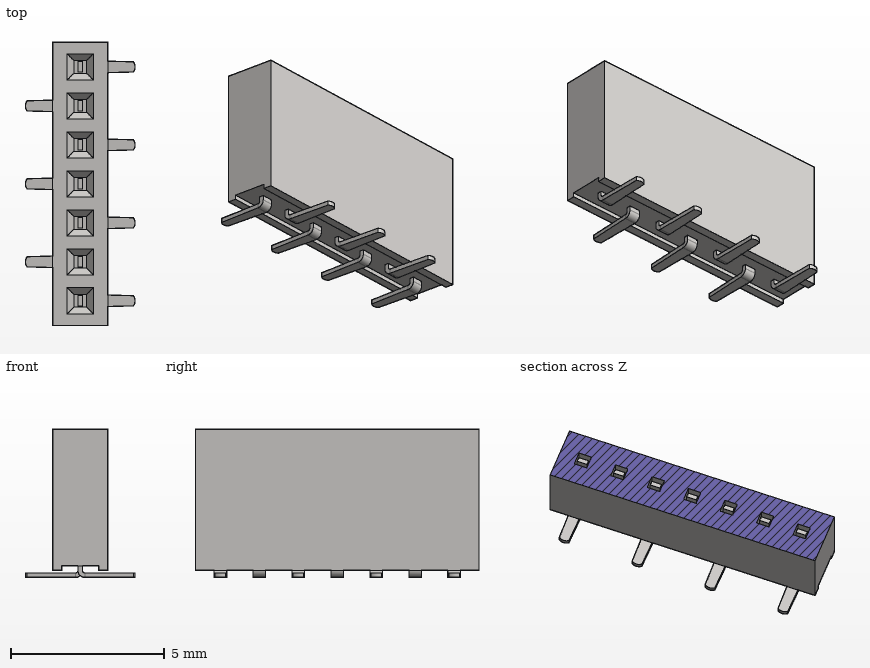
import cadquery as cq
import math

PIN_COUNT = 7
PITCH = 1.27
END_MARGIN = 0.35
HOUSING_WIDTH = 1.80
HOUSING_LENGTH = PIN_COUNT * PITCH + END_MARGIN
HOUSING_HEIGHT = 4.60
OVERALL_HEIGHT = 4.83
HOUSING_BOTTOM = OVERALL_HEIGHT - HOUSING_HEIGHT
CHANNEL_WIDTH = 1.20
CHANNEL_DEPTH = 0.15
CHANNEL_ROOF = HOUSING_BOTTOM + CHANNEL_DEPTH

FUNNEL_MOUTH = 0.85
WELL_SIZE = 0.42
FUNNEL_DEPTH = 0.25
FLOOR_THICKNESS = 1.0
WELL_FLOOR = CHANNEL_ROOF + FLOOR_THICKNESS

STRIP_THICKNESS = 0.15
STRIP_WIDTH = 0.42
BLADE_WIDTH = 0.34
BLADE_HEIGHT = 1.0
BEND_INNER_RADIUS = 0.075
BEND_OUTER_RADIUS = BEND_INNER_RADIUS + STRIP_THICKNESS
TAIL_SPAN = 3.58
TAIL_REACH = TAIL_SPAN / 2
TAIL_END_WIDTH = 0.34
TIP_LENGTH = 0.06


def make_housing():
    """Rectangular block with a channel along the middle of its underside."""
    block = cq.Workplane("XY").workplane(offset=HOUSING_BOTTOM).box(
        HOUSING_WIDTH, HOUSING_LENGTH, HOUSING_HEIGHT, centered=(True, True, False)
    )
    channel = cq.Workplane("XY").workplane(offset=HOUSING_BOTTOM).box(
        CHANNEL_WIDTH, HOUSING_LENGTH, CHANNEL_DEPTH, centered=(True, True, False)
    )
    return block.cut(channel)


def make_socket(y):
    """Space removed for one socket: funnel at the top, well below it."""
    funnel = (
        cq.Workplane("XY")
        .workplane(offset=OVERALL_HEIGHT)
        .center(0, y)
        .rect(FUNNEL_MOUTH, FUNNEL_MOUTH)
        .workplane(offset=-FUNNEL_DEPTH)
        .rect(WELL_SIZE, WELL_SIZE)
        .loft(ruled=True)
    )
    well_depth = OVERALL_HEIGHT - FUNNEL_DEPTH - WELL_FLOOR
    well = cq.Workplane("XY").workplane(offset=WELL_FLOOR).center(0, y).rect(WELL_SIZE, WELL_SIZE)
    return funnel.union(well.extrude(well_depth))


def make_blade(y):
    """Contact blade standing on the well floor."""
    blade = cq.Workplane("XY").workplane(offset=WELL_FLOOR).center(0, y).rect(STRIP_THICKNESS, BLADE_WIDTH)
    return blade.extrude(BLADE_HEIGHT)


def make_tail(y, side):
    """Solder tail that drops out of the channel roof and bends toward +X (side 1) or -X (side -1).

    The bent strip is trimmed to a plan outline that narrows toward a rounded tip.
    """
    half_thickness = STRIP_THICKNESS / 2
    bend_x = half_thickness + BEND_INNER_RADIUS
    bend_z = BEND_OUTER_RADIUS
    diagonal = math.sqrt(0.5)
    outer_mid = (side * (bend_x - BEND_OUTER_RADIUS * diagonal), bend_z - BEND_OUTER_RADIUS * diagonal)
    inner_mid = (side * (bend_x - BEND_INNER_RADIUS * diagonal), bend_z - BEND_INNER_RADIUS * diagonal)
    profile = (
        cq.Workplane("XZ")
        .moveTo(-side * half_thickness, CHANNEL_ROOF)
        .lineTo(-side * half_thickness, bend_z)
        .threePointArc(outer_mid, (side * bend_x, 0))
        .lineTo(side * TAIL_REACH, 0)
        .lineTo(side * TAIL_REACH, STRIP_THICKNESS)
        .lineTo(side * bend_x, STRIP_THICKNESS)
        .threePointArc(inner_mid, (side * half_thickness, bend_z))
        .lineTo(side * half_thickness, CHANNEL_ROOF)
        .close()
        .extrude(STRIP_WIDTH / 2, both=True)
    )
    half_root = STRIP_WIDTH / 2
    half_end = TAIL_END_WIDTH / 2
    shoulder_x = side * (TAIL_REACH - TIP_LENGTH)
    outline = (
        cq.Workplane("XY")
        .moveTo(-side * half_thickness, -half_root)
        .lineTo(side * bend_x, -half_root)
        .lineTo(shoulder_x, -half_end)
        .threePointArc((side * TAIL_REACH, 0), (shoulder_x, half_end))
        .lineTo(side * bend_x, half_root)
        .lineTo(-side * half_thickness, half_root)
        .close()
        .extrude(CHANNEL_ROOF)
    )
    return profile.intersect(outline).translate((0, y, 0))


result = make_housing()
for index in range(PIN_COUNT):
    pin_y = (index - (PIN_COUNT - 1) / 2) * PITCH
    tail_side = 1 if index % 2 == 0 else -1
    result = result.cut(make_socket(pin_y))
    result = result.union(make_blade(pin_y))
    result = result.union(make_tail(pin_y, tail_side))